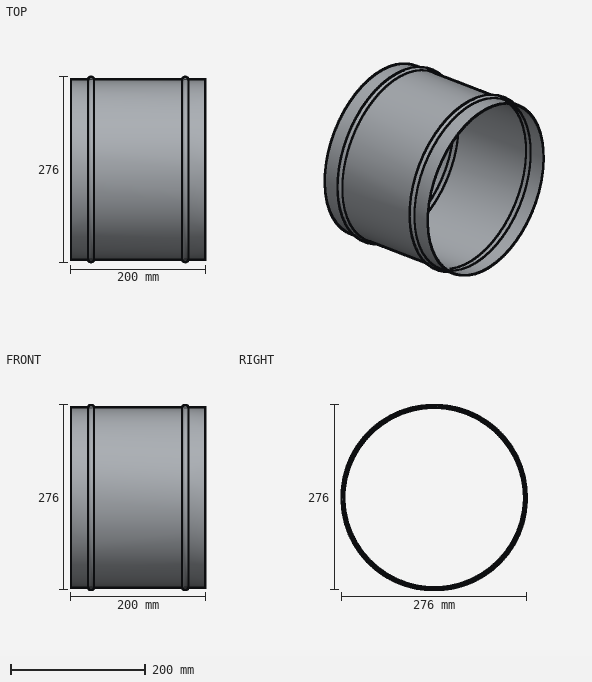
import cadquery as cq

length = 200.0
bead_outer_radius = 138.0
tube_outer_radius = 134.5
wall = 1.0
bead_width = 9.0
bead_inset = 30.0

tube_inner_radius = tube_outer_radius - wall
bead_offset = length / 2 - bead_inset


def tube():
    """Plain thin-walled tube along X."""
    profile = cq.Workplane("XZ").moveTo(-length / 2, tube_inner_radius)
    profile = profile.lineTo(length / 2, tube_inner_radius)
    profile = profile.lineTo(length / 2, tube_outer_radius)
    profile = profile.lineTo(-length / 2, tube_outer_radius).close()
    return profile.revolve(360, (0, 0, 0), (1, 0, 0))


def bead(x_middle):
    """Round-topped ring standing on the tube, its foot sunk to mid-wall."""
    foot_radius = tube_outer_radius - wall / 2
    x_start = x_middle - bead_width / 2
    x_end = x_middle + bead_width / 2
    profile = cq.Workplane("XZ").moveTo(x_start, foot_radius)
    profile = profile.lineTo(x_start, tube_outer_radius)
    profile = profile.threePointArc((x_middle, bead_outer_radius), (x_end, tube_outer_radius))
    profile = profile.lineTo(x_end, foot_radius).close()
    return profile.revolve(360, (0, 0, 0), (1, 0, 0))


result = tube()
for x_middle in (-bead_offset, bead_offset):
    result = result.union(bead(x_middle))